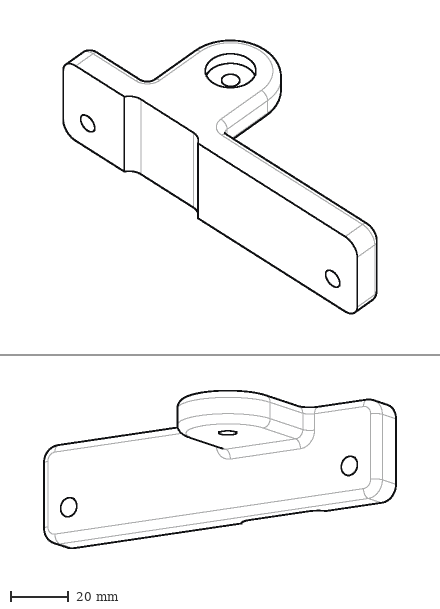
import cadquery as cq
import math

plate_length = 140.7
plate_height = 35.2
part_depth = 52.8
thickness = plate_height / 3
lug_bottom = plate_height - thickness
lug_center_x = plate_length / 3
lug_width = 35.2
lug_radius = lug_width / 2
lug_center_y = part_depth - lug_radius

edge_radius = 3.0
corner_radius = 2 * edge_radius

channel_depth = 3.0
channel_arc_radius = 2 * channel_depth

mount_hole_diameter = 6.8
mount_hole_inset = thickness
lug_hole_diameter = 6.3
counterbore_diameter = lug_width / 2
counterbore_depth = 4.5

selection_slack = 0.01


def make_plate():
    return (
        cq.Workplane("XY")
        .box(plate_length, thickness, plate_height, centered=False)
        .edges("|Y")
        .fillet(corner_radius)
    )


def make_lug():
    return (
        cq.Workplane("XY", origin=(lug_center_x, 0, lug_bottom))
        .moveTo(-lug_radius, thickness / 2)
        .lineTo(lug_radius, thickness / 2)
        .lineTo(lug_radius, lug_center_y)
        .threePointArc((0, part_depth), (-lug_radius, lug_center_y))
        .close()
        .extrude(thickness)
        .faces("<Z")
        .edges("not <Y")
        .fillet(edge_radius)
    )


def box_around(corner, opposite_corner):
    """Select edges lying wholly inside a box, with a little slack."""
    slack = cq.Vector(selection_slack, selection_slack, selection_slack)
    return cq.selectors.BoxSelector(
        (cq.Vector(*corner) - slack).toTuple(),
        (cq.Vector(*opposite_corner) + slack).toTuple(),
        boundingbox=True,
    )


def join_and_round(plate, lug):
    """Blend the lug into the plate, then round the outer edges."""
    lug_root = box_around(
        (lug_center_x - lug_radius, thickness, lug_bottom),
        (lug_center_x + lug_radius, thickness, plate_height),
    )
    back_rim = box_around((0, thickness, 0), (plate_length, thickness, plate_height))
    lug_rim = box_around((0, thickness, plate_height), (plate_length, part_depth, plate_height))
    blended = plate.union(lug).edges(lug_root).fillet(edge_radius)
    outer_edges = cq.selectors.SumSelector(back_rim, lug_rim)
    return blended.edges(outer_edges).fillet(edge_radius)


def make_channel():
    """Channel whose side arcs run tangentially into its flat floor."""
    arc_width = math.sqrt(channel_arc_radius**2 - (channel_arc_radius - channel_depth) ** 2)
    floor_half = lug_radius - arc_width
    arc_center_y = channel_depth - channel_arc_radius
    half_angle = math.asin(arc_width / channel_arc_radius) / 2
    mid_x = floor_half + channel_arc_radius * math.sin(half_angle)
    mid_y = arc_center_y + channel_arc_radius * math.cos(half_angle)
    return (
        cq.Workplane("XY", origin=(lug_center_x, 0, 0))
        .moveTo(-lug_radius, 0)
        .threePointArc((-mid_x, mid_y), (-floor_half, channel_depth))
        .lineTo(floor_half, channel_depth)
        .threePointArc((mid_x, mid_y), (lug_radius, 0))
        .close()
        .extrude(plate_height)
    )


def make_mount_holes():
    hole_positions = [
        (mount_hole_inset, mount_hole_inset),
        (plate_length - mount_hole_inset, mount_hole_inset),
    ]
    return (
        cq.Workplane("XZ")
        .pushPoints(hole_positions)
        .circle(mount_hole_diameter / 2)
        .extrude(-thickness)
    )


def make_lug_hole():
    top = cq.Workplane("XY", origin=(lug_center_x, lug_center_y, plate_height))
    through_hole = top.circle(lug_hole_diameter / 2).extrude(-thickness)
    counterbore = top.circle(counterbore_diameter / 2).extrude(-counterbore_depth)
    return through_hole.union(counterbore)


body = join_and_round(make_plate(), make_lug())
result = body.cut(make_channel()).cut(make_mount_holes()).cut(make_lug_hole())